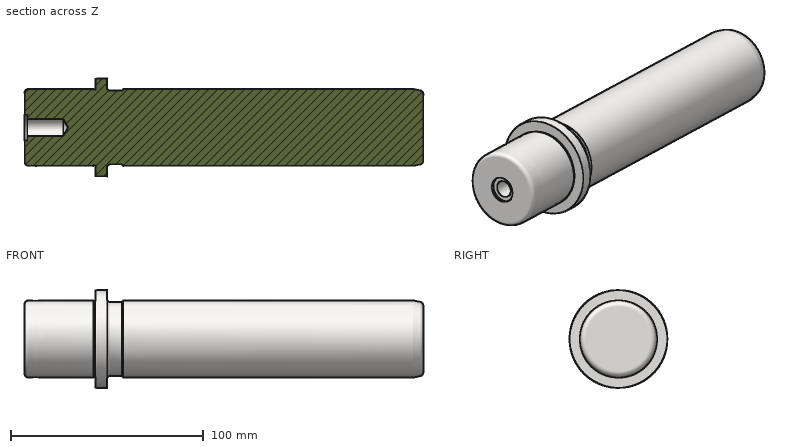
import cadquery as cq

length = 207.0
body_radius = 20.0
flange_radius = 25.5

head_round = 2.0
lead_length = 10.0
lead_taper = 0.05
lead_radius = body_radius - lead_taper

groove_start = 35.6
groove_depth = 0.5
groove_slope = 0.6

flange_start = 36.8
flange_end = 42.8
flange_chamfer_length = 0.8
flange_chamfer_height = 0.2

neck_radius = 19.3
neck_fillet = 1.7
neck_end = 50.5
neck_slope = 0.8

tail_start = 201.6
tail_radius = 19.5
tail_round = 2.5

counterbore_radius = 6.6
counterbore_depth = 1.5
hole_radius = 4.3
hole_depth = 20.0
drill_tip_depth = 2.5


def make_shaft():
    """Revolve the half profile of the shaft about the X axis."""
    groove_radius = body_radius - groove_depth
    profile = (
        cq.Workplane("XY")
        .lineTo(0, lead_radius - head_round)
        .radiusArc((head_round, lead_radius), head_round)
        .lineTo(lead_length, body_radius)
        .lineTo(groove_start, body_radius)
        .lineTo(groove_start + groove_slope, groove_radius)
        .lineTo(flange_start, groove_radius)
        .lineTo(flange_start, flange_radius - flange_chamfer_height)
        .lineTo(flange_start + flange_chamfer_length, flange_radius)
        .lineTo(flange_end, flange_radius)
        .lineTo(flange_end, neck_radius + neck_fillet)
        .radiusArc((flange_end + neck_fillet, neck_radius), -neck_fillet)
        .lineTo(neck_end, neck_radius)
        .lineTo(neck_end + neck_slope, body_radius)
        .lineTo(tail_start, body_radius)
        .lineTo(length - tail_round, tail_radius)
        .radiusArc((length, tail_radius - tail_round), tail_round)
        .lineTo(length, 0)
        .close()
    )
    return profile.revolve(360, (0, 0, 0), (1, 0, 0))


def make_centre_hole():
    """Counterbored blind hole with a conical drill tip, entering the head face."""
    profile = (
        cq.Workplane("XY")
        .lineTo(0, counterbore_radius)
        .lineTo(counterbore_depth, counterbore_radius)
        .lineTo(counterbore_depth, hole_radius)
        .lineTo(hole_depth, hole_radius)
        .lineTo(hole_depth + drill_tip_depth, 0)
        .close()
    )
    return profile.revolve(360, (0, 0, 0), (1, 0, 0))


result = make_shaft().cut(make_centre_hole())